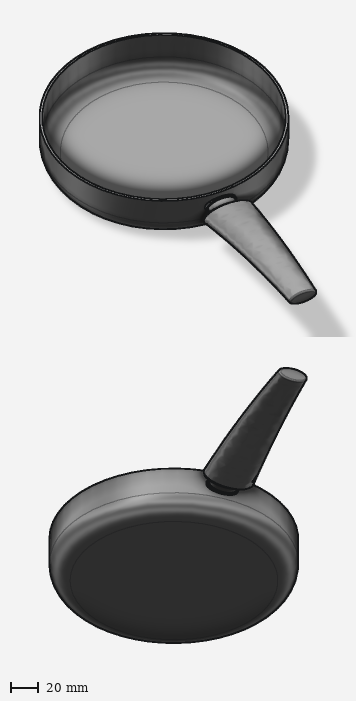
import cadquery as cq

pan_diameter = 180.0
inner_diameter = 176.0
pan_height = 36.0
base_radius = 15.0
wall = (pan_diameter - inner_diameter) / 2

neck_z = 25.08
neck_width = 22.0
neck_height = 11.5
collar_width = 24.5
collar_height = 13.5
collar_end = 91.5
neck_end = 97.8

total_length = 311.5
total_height = 45.5
handle_start = 99.7
grip_start = 102.0
handle_end = total_length - pan_diameter / 2
crest_x = 208.7
arch_drop = 11.0
root_width = 39.3
root_height = 18.0
tip_width = 22.0
tip_height = 11.0
root_rounding = 1.5
tip_rounding = 1.2
section_count = 6


def ellipse_wire(x, z, width, height):
    """Elliptical wire in the YZ plane at the given X and centre height."""
    plane = cq.Plane(origin=(x, 0, z), xDir=(0, 1, 0), normal=(1, 0, 0))
    return cq.Workplane(plane).ellipse(width / 2, height / 2).val()


def elliptical_bar(x_start, x_end, width, height):
    """Straight elliptical bar along X at neck height."""
    wires = [ellipse_wire(x, neck_z, width, height) for x in (x_start, x_end)]
    return cq.Workplane(cq.Solid.makeLoft(wires, True))


def make_pan():
    outer = cq.Workplane("XY").circle(pan_diameter / 2).extrude(pan_height)
    outer = outer.faces("<Z").edges().fillet(base_radius)
    cavity = cq.Workplane("XY").workplane(offset=wall).circle(inner_diameter / 2).extrude(pan_height)
    cavity = cavity.faces("<Z").edges().fillet(base_radius - wall)
    return outer.cut(cavity)


def make_neck():
    embed_x = inner_diameter / 2
    collar = elliptical_bar(embed_x, collar_end, collar_width, collar_height)
    neck = elliptical_bar(embed_x, neck_end, neck_width, neck_height)
    flare = cq.Workplane(cq.Solid.makeLoft([
        ellipse_wire(neck_end, neck_z, neck_width, neck_height),
        ellipse_wire(handle_start, neck_z, collar_width, collar_height),
    ], True))
    cavity = cq.Workplane("XY").circle(inner_diameter / 2).extrude(total_height)
    return collar.union(neck).union(flare).cut(cavity)


def grip_section(x, inset=0):
    """Handle section at X; inset shrinks it evenly all round."""
    along = (x - grip_start) / (handle_end - grip_start)
    width = root_width + along * (tip_width - root_width)
    height = root_height + along * (tip_height - root_height)
    from_crest = (crest_x - x) / (crest_x - grip_start)
    top_z = total_height - arch_drop * from_crest ** 2
    return ellipse_wire(x, top_z - height / 2, width - 2 * inset, height - 2 * inset)


def make_handle():
    step = (handle_end - grip_start) / (section_count - 1)
    grip = cq.Solid.makeLoft([grip_section(grip_start + i * step) for i in range(section_count)])
    root = cq.Solid.makeLoft([grip_section(handle_start, root_rounding), grip_section(grip_start)], True)
    rounded_grip = cq.Workplane(grip).faces(">X").edges().fillet(tip_rounding)
    return rounded_grip.union(cq.Workplane(root))


result = make_pan().union(make_neck()).union(make_handle())